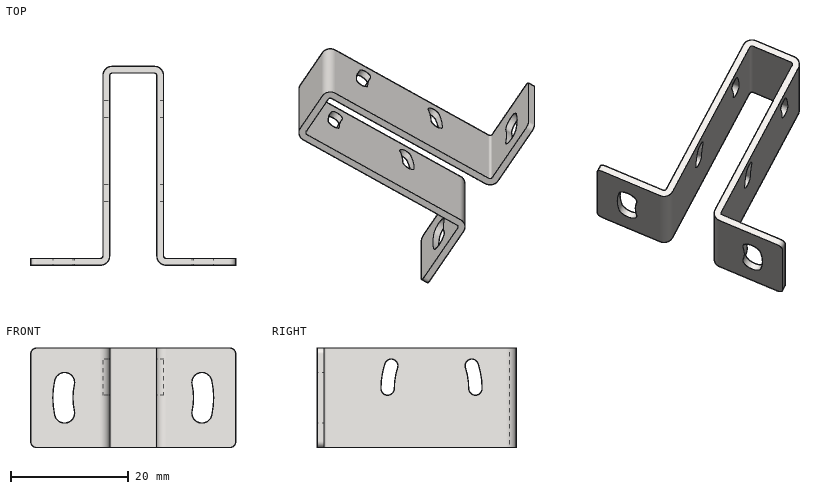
import cadquery as cq
import math

overall_width = 35.0
overall_depth = 34.0
height = 17.0
thickness = 1.2
channel_inner_width = 8.0
inner_bend_radius = 0.42
flange_corner_radius = 1.0

flange_slot_radius = 12.0
flange_slot_width = 3.4
flange_slot_half_angle = 12.5

side_slot_radius = 12.6
side_slot_width = 2.25
side_slot_sweep = 18.0
side_slot_half_spacing = 7.5
side_pair_y = 2.52
side_slot_start_z = 1.58

outer_bend_radius = inner_bend_radius + thickness
half_width = overall_width / 2
half_depth = overall_depth / 2
inner_x = channel_inner_width / 2
outer_x = inner_x + thickness
front_y = -half_depth
flange_back_y = front_y + thickness


def curved_slot(plane, center, radius, width, start_angle, end_angle, length):
    """Round-ended slot following an arc, extruded equally to both sides of the plane."""
    def polar(distance, angle):
        turn = math.radians(angle)
        return (center[0] + distance * math.cos(turn), center[1] + distance * math.sin(turn))

    def end_cap(angle, overshoot):
        x, y = polar(radius, angle)
        turn = math.radians(angle + overshoot)
        return (x + width / 2 * math.cos(turn), y + width / 2 * math.sin(turn))

    inner = radius - width / 2
    outer = radius + width / 2
    middle_angle = (start_angle + end_angle) / 2
    return (
        cq.Workplane(plane)
        .moveTo(*polar(inner, start_angle))
        .threePointArc(polar(inner, middle_angle), polar(inner, end_angle))
        .threePointArc(end_cap(end_angle, 90), polar(outer, end_angle))
        .threePointArc(polar(outer, middle_angle), polar(outer, start_angle))
        .threePointArc(end_cap(start_angle, -90), polar(inner, start_angle))
        .close()
        .extrude(length / 2, both=True)
    )


def bent_sheet():
    """Sheet profile with sharp bends, extruded along Z and then rounded at every bend."""
    profile = [
        (-half_width, front_y),
        (-inner_x, front_y),
        (-inner_x, half_depth - thickness),
        (inner_x, half_depth - thickness),
        (inner_x, front_y),
        (half_width, front_y),
        (half_width, flange_back_y),
        (outer_x, flange_back_y),
        (outer_x, half_depth),
        (-outer_x, half_depth),
        (-outer_x, flange_back_y),
        (-half_width, flange_back_y),
    ]
    inside_bends = [(inner_x, half_depth - thickness), (outer_x, flange_back_y)]
    outside_bends = [(outer_x, half_depth), (inner_x, front_y)]
    sheet = cq.Workplane("XY").polyline(profile).close().extrude(height / 2, both=True)
    for corners, radius in ((inside_bends, inner_bend_radius), (outside_bends, outer_bend_radius)):
        for x, y in corners:
            for side in (-1, 1):
                edge = sheet.edges(cq.NearestToPointSelector((side * x, y, 0)))
                sheet = edge.fillet(radius)
    return sheet


bracket = bent_sheet()
bracket = bracket.faces("<X or >X").edges("|Y").fillet(flange_corner_radius)

flange_plane = cq.Plane(origin=(0, front_y, 0), xDir=(1, 0, 0), normal=(0, -1, 0))
for direction in (0, 180):
    bracket = bracket.cut(curved_slot(
        flange_plane, (0, 0), flange_slot_radius, flange_slot_width,
        direction - flange_slot_half_angle, direction + flange_slot_half_angle, 4 * thickness,
    ))

arc_center_offset = side_slot_half_spacing - side_slot_radius
for side, start_angle in ((1, 0), (-1, 180 - side_slot_sweep)):
    bracket = bracket.cut(curved_slot(
        "YZ", (side_pair_y + side * arc_center_offset, side_slot_start_z),
        side_slot_radius, side_slot_width,
        start_angle, start_angle + side_slot_sweep, overall_width,
    ))

result = bracket